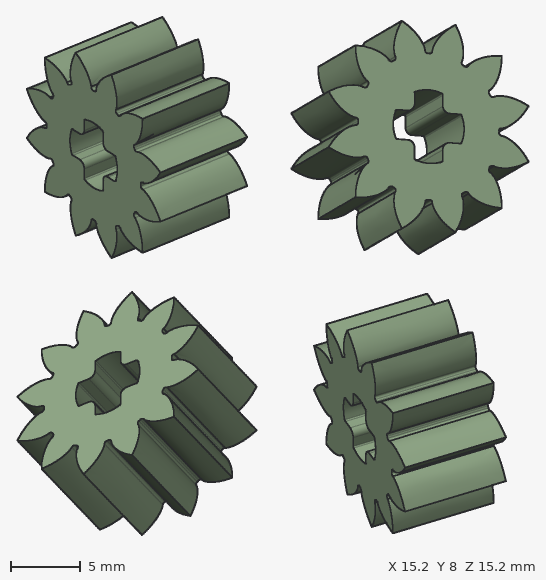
import cadquery as cq
import math

overall_width = 15.22
face_width = 8.0
tooth_count = 12
base_radius = 5.59
root_radius = 5.35
root_fillet = 0.2

bore_radius = 2.7
bore_arm_width = 2.15
bore_inner_fillet = 0.52
bore_outer_fillet = 0.12

tooth_pitch = 2 * math.pi / tooth_count
tip_angle = tooth_pitch / 2
tip_radius = overall_width / 2 / math.cos(tip_angle)
flank_points = 7


def flank():
    """Right-hand involute flank of the gap on +Z, from the base circle to the tooth tip."""
    tip_roll = math.sqrt((tip_radius / base_radius) ** 2 - 1)
    start_angle = tip_angle - (tip_roll - math.atan(tip_roll))
    points = []
    for i in range(flank_points):
        roll = tip_roll * i / (flank_points - 1)
        radius = base_radius * math.sqrt(1 + roll**2)
        angle = start_angle + roll - math.atan(roll)
        points.append((radius * math.sin(angle), radius * math.cos(angle)))
    return points


def mirrored(points):
    return [(-x, z) for x, z in points]


def extrude_face_width(sketch):
    """Extrude an XZ sketch along Y, centred on the origin."""
    return sketch.extrude(face_width).translate((0, face_width / 2, 0))


def tooth_gap():
    """Cutter for the gap on +Z, closed well outside the tooth tips."""
    right = flank()
    left = mirrored(right)
    foot_x, foot_z = right[0]
    root_half_width = foot_x * root_radius / foot_z
    outside = 2 * tip_radius
    tip_x, tip_z = right[-1]
    outer_x = tip_x * outside / tip_z
    sketch = (
        cq.Workplane("XZ")
        .moveTo(-root_half_width, root_radius)
        .lineTo(root_half_width, root_radius)
        .lineTo(*right[0])
        .spline(right[1:], includeCurrent=True)
        .lineTo(outer_x, outside)
        .lineTo(-outer_x, outside)
        .lineTo(*left[-1])
        .spline(left[-2::-1], includeCurrent=True)
        .close()
    )
    root_edges = cq.selectors.BoxSelector(
        (-2 * root_half_width, -face_width, root_radius - root_fillet / 2),
        (2 * root_half_width, face_width, root_radius + root_fillet / 2),
    )
    return extrude_face_width(sketch).edges("|Y").edges(root_edges).fillet(root_fillet)


def cross_bore():
    """Cross-shaped bore with rounded inside corners and arc-shaped arm ends."""
    arm_length = 4 * bore_radius
    cross = extrude_face_width(cq.Workplane("XZ").rect(arm_length, bore_arm_width))
    cross = cross.union(extrude_face_width(cq.Workplane("XZ").rect(bore_arm_width, arm_length)))
    inner_corners = cq.selectors.BoxSelector(
        (-bore_arm_width, -face_width, -bore_arm_width),
        (bore_arm_width, face_width, bore_arm_width),
    )
    cross = cross.edges("|Y").edges(inner_corners).fillet(bore_inner_fillet)
    bore = cross.intersect(extrude_face_width(cq.Workplane("XZ").circle(bore_radius)))
    arm_end = math.sqrt(bore_radius**2 - (bore_arm_width / 2) ** 2)
    end_corners = cq.selectors.BoxSelector(
        (-bore_arm_width, -face_width, arm_end - bore_outer_fillet),
        (bore_arm_width, face_width, arm_end + bore_outer_fillet),
    )
    for _ in range(4):
        bore = bore.rotate((0, 0, 0), (0, 1, 0), 90)
        bore = bore.edges("|Y").edges(end_corners).fillet(bore_outer_fillet)
    return bore


blank_outline = cq.Workplane("XZ").transformed(rotate=(0, 0, math.degrees(tip_angle)))
blank = extrude_face_width(blank_outline.polygon(tooth_count, 2 * tip_radius))

gap = tooth_gap()
result = blank
for i in range(tooth_count):
    result = result.cut(gap.rotate((0, 0, 0), (0, 1, 0), i * math.degrees(tooth_pitch)))
result = result.cut(cross_bore())